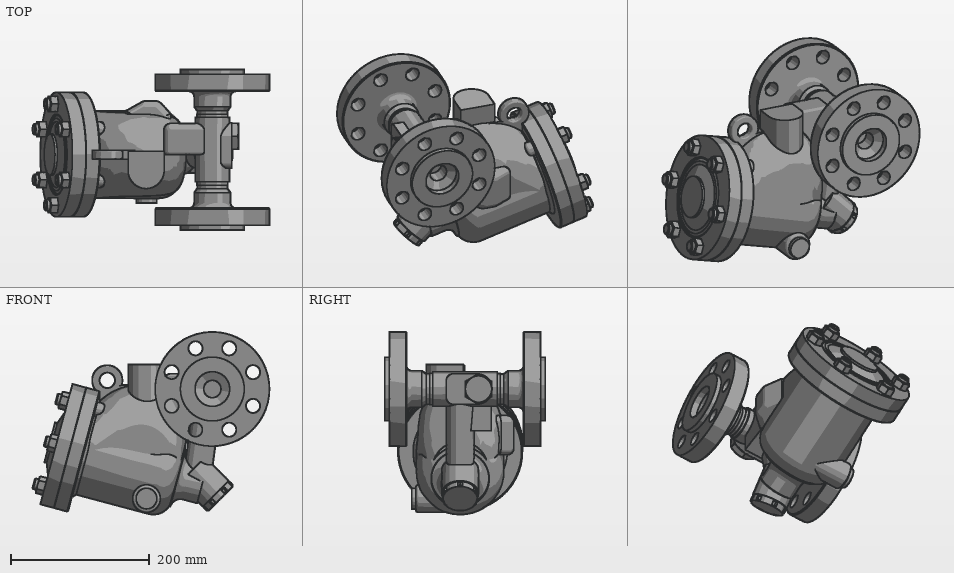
import cadquery as cq
import math


HEX_CHAMFER_ANGLE = 30.0

FACE_TO_FACE = 232.0
FLANGE_DIA = 165.0
FLANGE_THICKNESS = 25.0
FLANGE_EDGE_CHAMFER = 1.5
RAISED_FACE_DIA = 92.1
RAISED_FACE_HEIGHT = 7.0
FLANGE_BOLT_CIRCLE = 127.0
FLANGE_HOLE_DIA = 20.0
FLANGE_HOLE_COUNT = 8
BORE_MOUTH_DIA = 50.0
BORE_DIA = 25.0
BORE_MOUTH_DEPTH = 10.5
BORE_TAPER_END = 17.5
BORE_DEPTH = 40.0

PIPE_RADIUS = 25.0
PIPE_HALF_LENGTH = 46.5
WAIST_RADIUS = 22.5
WAIST_END = 56.0
HUB_RADIUS = 26.5
HUB_START = 62.0
HUB_END = 77.0
GROOVE_POSITION = 51.0
GROOVE_RADIUS = 22.0

BODY_TILT = 15.0
BODY_Y = -7.0
COVER_X = -224.95
COVER_Z = -79.5
COVER_DIA = 180.0
COVER_THICKNESS = 20.5
BODY_FLANGE_BACK = COVER_THICKNESS + 21.0
BODY_FLANGE_CHAMFER = 1.5
SEAM_DEPTH = 0.6
SEAM_WIDTH = 0.6
BODY_RADIUS = 63.0
BODY_END = 182.0
BODY_END_FILLET = 28.0
BODY_ROOT_FILLET = 5.0

RING_OUTER_RADIUS = 58.5
RING_BOTTOM_RADIUS = 56.5
RING_INNER_RADIUS = 52.5
RING_DEPTH = 1.5
CONE_ROOT_RADIUS = 47.5
CONE_HEIGHT = 6.5
PAD_RADIUS = 30.0
PAD_HEIGHT = 10.0

STUD_COUNT = 6
STUD_CIRCLE_RADIUS = 73.0
STUD_DIA = 16.0
STUD_TIP = 17.0
STUD_TIP_CHAMFER = 1.5
STUD_GRIP = 10.0
NUT_FLATS = 22.0
NUT_HEIGHT = 11.0
UPPER_STUDS = (1, 2)
STUD_BOSS_RADIUS = 11.0
STUD_BOSS_LENGTH = 12.0
STUD_BOSS_FILLET = 5.0

BULGE_SECTIONS = [
    (45.0, 63.0, 2.0, 76.0),
    (78.0, 61.0, 36.0, 72.0),
    (105.0, 60.0, 57.0, 61.0),
    (140.0, 59.0, 56.0, 59.0),
    (165.0, 54.0, 36.0, 54.0),
    (180.0, 40.0, 12.0, 40.0),
]

EYE_X = -151.5
EYE_Z = 12.5
EYE_RADIUS = 22.0
EYE_HOLE_DIA = 22.0
EYE_THICKNESS = 13.0
EYE_FILLET = 2.0
EYE_WEB_FRONT = -162.5
EYE_WEB_REAR = -101.5
EYE_WEB_LOW_TOP = -3.0
EYE_WEB_HIGH_TOP = 6.0
EYE_WEB_BOTTOM = -37.5

TOWER_X = -95.5
TOWER_RADIUS = 26.0
TOWER_BACK_Y = -2.5
TOWER_ARC_Y = -30.0
TOWER_TOP = 35.5
TOWER_BOTTOM = -60.0

DUCT_LEFT = -70.0
DUCT_FRONT = -7.0
DUCT_BACK = 38.0
DUCT_TOP = 22.2
DUCT_BOTTOM = -60.0
DUCT_FILLET = 10.0
DUCT_FRONT_FILLET = 4.0

SWELL_OUTLINE = [(-60, 10), (-125, 10), (-125, 56), (-99, 70.5), (-77, 70.5), (-60, 52)]
SWELL_TOP = -38.0
SWELL_BOTTOM = -95.0
SWELL_SIDE_FILLET = 12.0
SWELL_TOP_FILLET = 10.0

DRAIN_X = -95.0
DRAIN_Z = -158.0
DRAIN_RADIUS = 20.0
DRAIN_END = -71.0
DRAIN_FILLET = 4.0
DRAIN_FACE_DIA = 30.0
DRAIN_FACE_END = -77.0

NECK_RADIUS = 27.0
NECK_OFFSET = -3.0
NECK_END = 218.0
NECK_FLARE_LENGTH = 15.0
RISER_FOOT = (-21.0, -122.0)
RISER_HEAD = (-6.0, -8.0)
RISER_RADIUS = 20.0
PLUG_FACE = (12.0, -158.0)
PLUG_TILT = 45.0
PLUG_FLATS = 46.0
PLUG_HEIGHT = 8.0
PLUG_GASKET_DIA = 49.5
PLUG_GASKET_HEIGHT = 2.0
PLUG_BOSS_RADIUS = 26.5
PLUG_BOSS_LENGTH = 48.0

SIDE_FACE_X = 28.0
SIDE_HALF_HEIGHT = 22.0
SIDE_FRONT_Y = -27.0
SIDE_FILLET = 10.0
SIDE_ROUND_Y = 17.0
SIDE_PLUG_Y = 19.5
SIDE_PLUG_FLATS = 38.0
SIDE_PLUG_HEIGHT = 10.0


def hexagon(plane, flats, height):
    """Hexagon with a corner upwards; its face on the plane is chamfered to a circle."""
    diameter = flats / math.cos(math.radians(30))
    chamfer_width = (diameter - flats) / 2
    chamfer_height = chamfer_width * math.tan(math.radians(HEX_CHAMFER_ANGLE))
    prism = cq.Workplane(plane).transformed(rotate=(0, 0, 90)).polygon(6, diameter).extrude(height)
    blank = cq.Workplane(plane).circle(diameter / 2).extrude(height)
    end_face = cq.NearestToPointSelector(plane.origin.toTuple())
    return prism.intersect(blank.faces(end_face).chamfer(chamfer_height, chamfer_width))


def body_plane(distance):
    """Plane across the body axis: local x points to the rear (+Y), local y points upwards."""
    tilt = math.radians(BODY_TILT)
    origin = (
        COVER_X + distance * math.cos(tilt),
        BODY_Y,
        COVER_Z - distance * math.sin(tilt),
    )
    inward = (math.cos(tilt), 0, -math.sin(tilt))
    return cq.Plane(origin=origin, xDir=(0, 1, 0), normal=inward)


def turned_on_body(outline):
    """Revolve (distance along the axis, radius) points around the body axis."""
    cover = body_plane(0)
    axis_plane = cq.Plane(origin=cover.origin, xDir=cover.zDir, normal=(0, -1, 0))
    return cq.Workplane(axis_plane).polyline(outline).close().revolve(360, (0, 0), (1, 0))


def make_body():
    barrel = (
        cq.Workplane(body_plane(COVER_THICKNESS))
        .circle(BODY_RADIUS)
        .extrude(BODY_END - COVER_THICKNESS)
        .faces(">X")
        .edges()
        .fillet(BODY_END_FILLET)
    )
    seam_radius = COVER_DIA / 2 - SEAM_DEPTH
    seam_start = COVER_THICKNESS - SEAM_WIDTH / 2
    seam_end = COVER_THICKNESS + SEAM_WIDTH / 2
    cover = turned_on_body([
        (RING_DEPTH, 0),
        (-PAD_HEIGHT, 0),
        (-PAD_HEIGHT, PAD_RADIUS),
        (-CONE_HEIGHT, PAD_RADIUS),
        (0, CONE_ROOT_RADIUS),
        (0, RING_INNER_RADIUS),
        (RING_DEPTH, RING_BOTTOM_RADIUS),
        (0, RING_OUTER_RADIUS),
        (0, COVER_DIA / 2),
        (seam_start, COVER_DIA / 2),
        (seam_start, seam_radius),
        (seam_end, seam_radius),
        (seam_end, COVER_DIA / 2),
        (BODY_FLANGE_BACK - BODY_FLANGE_CHAMFER, COVER_DIA / 2),
        (BODY_FLANGE_BACK, COVER_DIA / 2 - BODY_FLANGE_CHAMFER),
        (BODY_FLANGE_BACK, BODY_RADIUS + BODY_ROOT_FILLET),
        (BODY_FLANGE_BACK + BODY_ROOT_FILLET, BODY_RADIUS),
        (BODY_FLANGE_BACK + BODY_ROOT_FILLET, 0),
    ])
    return cover.union(barrel)


def bulge_wire(distance, half_width, rise, crown):
    """Upright slot across the body axis, its lower arc centred on the axis."""
    return (
        cq.Workplane(body_plane(distance))
        .moveTo(half_width, rise)
        .ellipseArc(half_width, crown, 0, 180)
        .lineTo(-half_width, 0)
        .threePointArc((0, -half_width), (half_width, 0))
        .close()
        .wire()
        .val()
    )


def make_bulge():
    wires = [bulge_wire(*section) for section in BULGE_SECTIONS]
    return cq.Workplane(cq.Solid.makeLoft(wires))


def make_studs():
    studs = None
    for index in range(STUD_COUNT):
        angle = 2 * math.pi * index / STUD_COUNT
        across = STUD_CIRCLE_RADIUS * math.cos(angle)
        up = STUD_CIRCLE_RADIUS * math.sin(angle)
        stud = (
            cq.Workplane(body_plane(-STUD_TIP))
            .center(across, up)
            .circle(STUD_DIA / 2)
            .extrude(STUD_TIP + STUD_GRIP)
            .faces("<X")
            .chamfer(STUD_TIP_CHAMFER)
        )
        nut_plane = body_plane(-NUT_HEIGHT)
        nut_plane.origin = nut_plane.toWorldCoords((across, up, 0))
        fastener = stud.union(hexagon(nut_plane, NUT_FLATS, NUT_HEIGHT + RING_DEPTH))
        studs = fastener if studs is None else studs.union(fastener)
        if index not in UPPER_STUDS:
            continue
        boss = (
            cq.Workplane(body_plane(COVER_THICKNESS))
            .center(across, up)
            .circle(STUD_BOSS_RADIUS)
            .extrude(BODY_FLANGE_BACK - COVER_THICKNESS + STUD_BOSS_LENGTH)
            .faces(">X")
            .edges()
            .fillet(STUD_BOSS_FILLET)
        )
        studs = studs.union(boss)
    return studs


def front_plane(y):
    """Plane facing -Y at the given depth: local x is X, local y is Z."""
    return cq.Plane(origin=(0, y, 0), xDir=(1, 0, 0), normal=(0, -1, 0))


def make_eye():
    rear = BODY_Y + EYE_THICKNESS / 2
    eye = (
        cq.Workplane(front_plane(rear))
        .center(EYE_X, EYE_Z)
        .circle(EYE_RADIUS)
        .circle(EYE_HOLE_DIA / 2)
        .extrude(EYE_THICKNESS)
        .edges()
        .fillet(EYE_FILLET)
    )
    web_outline = [
        (EYE_WEB_FRONT, EYE_WEB_LOW_TOP),
        (EYE_X, EYE_WEB_LOW_TOP),
        (EYE_X + EYE_RADIUS, EYE_WEB_HIGH_TOP),
        (EYE_WEB_REAR, EYE_WEB_HIGH_TOP),
        (EYE_WEB_REAR, EYE_WEB_BOTTOM),
        (EYE_WEB_FRONT, EYE_WEB_BOTTOM),
    ]
    web = cq.Workplane(front_plane(rear)).polyline(web_outline).close().extrude(EYE_THICKNESS)
    return eye.union(web)


def make_tower():
    return (
        cq.Workplane("XY", origin=(TOWER_X, 0, TOWER_BOTTOM))
        .moveTo(-TOWER_RADIUS, TOWER_BACK_Y)
        .lineTo(-TOWER_RADIUS, TOWER_ARC_Y)
        .threePointArc((0, TOWER_ARC_Y - TOWER_RADIUS), (TOWER_RADIUS, TOWER_ARC_Y))
        .lineTo(TOWER_RADIUS, TOWER_BACK_Y)
        .close()
        .extrude(TOWER_TOP - TOWER_BOTTOM)
    )


def make_duct():
    return (
        cq.Workplane("XY", origin=(DUCT_LEFT, DUCT_FRONT, DUCT_BOTTOM))
        .box(-DUCT_LEFT, DUCT_BACK - DUCT_FRONT, DUCT_TOP - DUCT_BOTTOM, centered=False)
        .edges("(|Z and <X and >Y) or (>Z and >Y) or (>Z and <X)")
        .fillet(DUCT_FILLET)
        .faces("<Y")
        .edges(">Z")
        .fillet(DUCT_FRONT_FILLET)
    )


def make_swell():
    return (
        cq.Workplane("XY", origin=(0, 0, SWELL_BOTTOM))
        .polyline(SWELL_OUTLINE)
        .close()
        .extrude(SWELL_TOP - SWELL_BOTTOM)
        .edges("|Z and >Y")
        .fillet(SWELL_SIDE_FILLET)
        .faces(">Z or <Z")
        .edges()
        .fillet(SWELL_TOP_FILLET)
    )


def make_drain_boss():
    boss = (
        cq.Workplane(front_plane(BODY_Y))
        .center(DRAIN_X, DRAIN_Z)
        .circle(DRAIN_RADIUS)
        .extrude(BODY_Y - DRAIN_END)
        .faces("<Y")
        .edges()
        .fillet(DRAIN_FILLET)
    )
    face = (
        cq.Workplane(front_plane(BODY_Y))
        .center(DRAIN_X, DRAIN_Z)
        .circle(DRAIN_FACE_DIA / 2)
        .extrude(BODY_Y - DRAIN_FACE_END)
    )
    return boss.union(face)


def make_neck():
    flare_end = BODY_END + NECK_FLARE_LENGTH
    flare_outer = NECK_RADIUS + NECK_FLARE_LENGTH
    axis_plane = cq.Plane(
        origin=body_plane(0).toWorldCoords((0, NECK_OFFSET, 0)).toTuple(),
        xDir=body_plane(0).zDir,
        normal=(0, -1, 0),
    )
    middle = NECK_FLARE_LENGTH * math.sqrt(0.5)
    return (
        cq.Workplane(axis_plane)
        .moveTo(BODY_END - NECK_FLARE_LENGTH, 0)
        .lineTo(BODY_END - NECK_FLARE_LENGTH, flare_outer - NECK_FLARE_LENGTH)
        .lineTo(BODY_END, flare_outer)
        .threePointArc((flare_end - middle, flare_outer - middle), (flare_end, NECK_RADIUS))
        .lineTo(NECK_END, NECK_RADIUS)
        .lineTo(NECK_END, 0)
        .close()
        .revolve(360, (0, 0), (1, 0))
    )


def make_riser():
    foot = cq.Vector(RISER_FOOT[0], BODY_Y, RISER_FOOT[1])
    head = cq.Vector(RISER_HEAD[0], BODY_Y, RISER_HEAD[1])
    along = head - foot
    return cq.Workplane(cq.Solid.makeCylinder(RISER_RADIUS, along.Length, foot, along))


def make_lower_plug():
    tilt = math.radians(PLUG_TILT)
    inward = (-math.cos(tilt), 0, math.sin(tilt))
    face = cq.Plane(origin=(PLUG_FACE[0], BODY_Y, PLUG_FACE[1]), xDir=(0, 1, 0), normal=inward)
    boss_start = PLUG_HEIGHT + PLUG_GASKET_HEIGHT
    head = hexagon(face, PLUG_FLATS, PLUG_HEIGHT)
    gasket = cq.Workplane(face).circle(PLUG_GASKET_DIA / 2).extrude(boss_start)
    boss = (
        cq.Workplane(face)
        .workplane(offset=boss_start)
        .circle(PLUG_BOSS_RADIUS)
        .extrude(PLUG_BOSS_LENGTH)
    )
    return head.union(gasket).union(boss)


def make_cross_pipe():
    flange_back = FACE_TO_FACE / 2 - RAISED_FACE_HEIGHT - FLANGE_THICKNESS
    flange_front = flange_back + FLANGE_THICKNESS
    flange_radius = FLANGE_DIA / 2
    flare = flange_back - HUB_END
    flare_middle = flare * math.sqrt(0.5)
    face = FACE_TO_FACE / 2
    end = (
        cq.Workplane("XY")
        .moveTo(0, PIPE_HALF_LENGTH)
        .lineTo(WAIST_RADIUS, PIPE_HALF_LENGTH)
        .lineTo(WAIST_RADIUS, GROOVE_POSITION)
        .lineTo(GROOVE_RADIUS, GROOVE_POSITION)
        .lineTo(GROOVE_RADIUS, WAIST_END)
        .lineTo(HUB_RADIUS, HUB_START)
        .lineTo(HUB_RADIUS, HUB_END)
        .threePointArc(
            (HUB_RADIUS + flare - flare_middle, HUB_END + flare_middle),
            (HUB_RADIUS + flare, flange_back),
        )
        .lineTo(flange_radius - FLANGE_EDGE_CHAMFER, flange_back)
        .lineTo(flange_radius, flange_back + FLANGE_EDGE_CHAMFER)
        .lineTo(flange_radius, flange_front)
        .lineTo(RAISED_FACE_DIA / 2, flange_front)
        .lineTo(RAISED_FACE_DIA / 2, face)
        .lineTo(BORE_MOUTH_DIA / 2, face)
        .lineTo(BORE_MOUTH_DIA / 2, face - BORE_MOUTH_DEPTH)
        .lineTo(BORE_DIA / 2, face - BORE_TAPER_END)
        .lineTo(BORE_DIA / 2, face - BORE_DEPTH)
        .lineTo(0, face - BORE_DEPTH)
        .close()
        .revolve(360, (0, 0), (0, 1))
    )
    hole = (
        cq.Workplane(front_plane(face))
        .polarArray(FLANGE_BOLT_CIRCLE / 2, 180 / FLANGE_HOLE_COUNT, 360, FLANGE_HOLE_COUNT)
        .circle(FLANGE_HOLE_DIA / 2)
        .extrude(face - flange_back)
    )
    end = end.cut(hole)
    barrel = cq.Workplane(front_plane(PIPE_HALF_LENGTH)).circle(PIPE_RADIUS).extrude(2 * PIPE_HALF_LENGTH)
    return barrel.union(end).union(end.mirror("XZ"))


def make_side_plug():
    boss = (
        cq.Workplane("YZ")
        .moveTo(SIDE_FRONT_Y + SIDE_FILLET, SIDE_HALF_HEIGHT)
        .lineTo(SIDE_ROUND_Y, SIDE_HALF_HEIGHT)
        .threePointArc((SIDE_ROUND_Y + SIDE_HALF_HEIGHT, 0), (SIDE_ROUND_Y, -SIDE_HALF_HEIGHT))
        .lineTo(SIDE_FRONT_Y + SIDE_FILLET, -SIDE_HALF_HEIGHT)
        .radiusArc((SIDE_FRONT_Y, SIDE_FILLET - SIDE_HALF_HEIGHT), SIDE_FILLET)
        .lineTo(SIDE_FRONT_Y, SIDE_HALF_HEIGHT - SIDE_FILLET)
        .radiusArc((SIDE_FRONT_Y + SIDE_FILLET, SIDE_HALF_HEIGHT), SIDE_FILLET)
        .close()
        .extrude(SIDE_FACE_X)
    )
    plug_face = cq.Plane(
        origin=(SIDE_FACE_X + SIDE_PLUG_HEIGHT, SIDE_PLUG_Y, 0),
        xDir=(0, 1, 0),
        normal=(-1, 0, 0),
    )
    plug = hexagon(plug_face, SIDE_PLUG_FLATS, SIDE_PLUG_HEIGHT)
    return boss.union(plug)


def make_trap():
    features = [
        make_bulge(),
        make_swell(),
        make_studs(),
        make_eye(),
        make_tower(),
        make_duct(),
        make_drain_boss(),
        make_neck(),
        make_riser(),
        make_lower_plug(),
        make_side_plug(),
        make_cross_pipe(),
    ]
    trap = make_body()
    for feature in features:
        trap = trap.union(feature)
    return trap


result = make_trap()